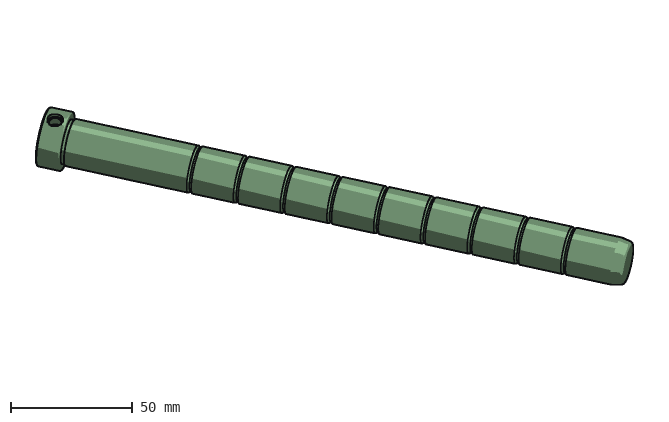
import cadquery as cq

total_length = 250.0
head_radius = 12.5
head_length = 10.0
head_front_chamfer = 0.5
head_rear_round = 0.5
shank_radius = 10.0

neck_width = 1.5
neck_depth = 0.5

groove_count = 9
groove_pitch = 20.0
first_groove_x = 65.0
groove_width = 2.0
groove_depth = 0.8

tip_length = 5.0
tip_end_radius = 9.0
tip_round = 1.5

radial_bore_diameter = 6.5
radial_bore_depth = 2.0
radial_step_diameter = 5.0
radial_step_depth = 6.0
radial_hole_diameter = 3.5
centre_mouth_diameter = 4.0
centre_hole_diameter = 2.5
centre_hole_depth = head_length / 2


def cylinder_x(start, length, radius):
    return cq.Workplane("YZ").workplane(offset=start).circle(radius).extrude(length)


def cone_x(start, length, start_radius, end_radius):
    profile = [(start, 0), (start, start_radius), (start + length, end_radius), (start + length, 0)]
    return cq.Workplane("XY").polyline(profile).close().revolve(360, (0, 0, 0), (1, 0, 0))


def make_body():
    tip_start = total_length - tip_length
    shank_start = head_length + neck_width
    head = cylinder_x(0, head_length, head_radius)
    head = head.faces("<X").edges().chamfer(head_front_chamfer)
    head = head.faces(">X").edges().fillet(head_rear_round)
    neck = cylinder_x(head_length, neck_width, shank_radius - neck_depth)
    shank = cylinder_x(shank_start, tip_start - shank_start, shank_radius)
    tip = cone_x(tip_start, tip_length, shank_radius, tip_end_radius).faces(">X").edges().fillet(tip_round)
    return head.union(neck).union(shank).union(tip)


def ring_groove(centre_x):
    half_width = groove_width / 2
    section = [
        (centre_x - half_width, shank_radius),
        (centre_x, shank_radius - groove_depth),
        (centre_x + half_width, shank_radius),
    ]
    return cq.Workplane("XY").polyline(section).close().revolve(360, (0, 0, 0), (1, 0, 0))


def radial_hole():
    plane = cq.Workplane("XY").center(head_length / 2, 0)
    bore = plane.workplane(offset=head_radius).circle(radial_bore_diameter / 2).extrude(-radial_bore_depth)
    step = plane.workplane(offset=head_radius).circle(radial_step_diameter / 2).extrude(-radial_step_depth)
    hole = plane.circle(radial_hole_diameter / 2).extrude(head_radius)
    return bore.union(step).union(hole)


def centre_hole():
    mouth_radius = centre_mouth_diameter / 2
    hole_radius = centre_hole_diameter / 2
    countersink = cone_x(0, mouth_radius - hole_radius, mouth_radius, hole_radius)
    return countersink.union(cylinder_x(0, centre_hole_depth, hole_radius))


result = make_body()
for index in range(groove_count):
    result = result.cut(ring_groove(first_groove_x + index * groove_pitch))

result = result.cut(radial_hole()).cut(centre_hole())